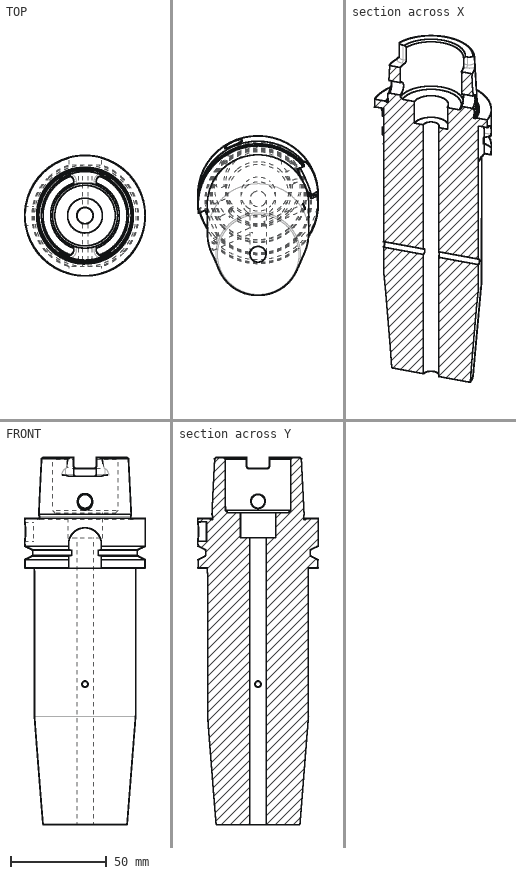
import cadquery as cq
import math

OVERLAP = 1.0

shank_height = 31.9
taper_gauge_radius = 24.0
taper_gauge_height = 6.3
taper_slope = 0.05
taper_foot_height = 2.1
rim_chamfer = 0.8

relief_radius = 23.9
relief_outer_radius = 25.3
relief_depth = 0.5

flange_radius = 31.5
flange_thickness = 26.0
flange_edge_chamfer = 0.3
groove_centre = -18.0
groove_mouth = 6.9
groove_floor_radius = 27.4
groove_flank_angle = 25.0
groove_corner_bevel = 0.5

body_radius = 26.5
nose_start = -103.2
nose_end = -160.0
nose_angle = 4.5
nose_edge_radius = 0.8

cavity_radius = 17.0
cavity_chamfer = 1.0
cavity_floor_chamfer = 1.2
cavity_floor = 3.0
well_radius = 9.1
well_floor = -10.0
bore_radius = 4.2

slot_half_width = 5.9
slot_lip_radius = 3.0
slot_lip_reach = 20.92
slot_flare_angle = 26.0
slot_corner_radius = 1.3
front_slot_depth = 10.0
back_slot_depth = 5.8

keyway_width = 17.2
keyway_top = -4.9

clamp_hole_diameter = 7.2
clamp_hole_height = 8.9
clamp_hole_chamfer = 0.7
cross_hole_diameter = 3.0
cross_hole_height = -86.5
chip_hole_diameter = 10.0
chip_hole_height = -6.9
chip_hole_depth = 4.6


def taper_radius(height):
    return taper_gauge_radius - taper_slope * (height - taper_gauge_height)


def to_front(shape):
    """Turn a +Y side cutter to the -Y side."""
    return shape.rotate((0, 0, 0), (0, 0, 1), 180)


def revolve(points):
    """Turn a closed (radius, height) outline about the Z axis."""
    return cq.Workplane("XZ").polyline(points).close().revolve(360, (0, 0, 0), (0, 1, 0))


def radial_cylinder(diameter, height, start, end):
    """Cylinder along Y at the given height, from y = start to y = end."""
    plane = cq.Plane(origin=(0, start, height), xDir=(1, 0, 0), normal=(0, 1, 0))
    return cq.Workplane(plane).circle(diameter / 2).extrude(end - start)


def make_outer_body():
    groove_top = groove_centre + groove_mouth / 2
    groove_bottom = groove_centre - groove_mouth / 2
    bevel_radius = groove_floor_radius + groove_corner_bevel
    flank = (flange_radius - bevel_radius) * math.tan(math.radians(groove_flank_angle))
    nose_radius = body_radius - (nose_start - nose_end) * math.tan(math.radians(nose_angle))
    body = revolve([
        (0, shank_height),
        (taper_radius(shank_height), shank_height),
        (taper_radius(taper_foot_height), taper_foot_height),
        (relief_radius, taper_foot_height / 2),
        (relief_radius, -relief_depth),
        (relief_outer_radius - relief_depth, -relief_depth),
        (relief_outer_radius, 0),
        (flange_radius, 0),
        (flange_radius, groove_top),
        (bevel_radius, groove_top - flank),
        (groove_floor_radius, groove_top - flank - groove_corner_bevel),
        (groove_floor_radius, groove_bottom + flank + groove_corner_bevel),
        (bevel_radius, groove_bottom + flank),
        (flange_radius, groove_bottom),
        (flange_radius, -flange_thickness + flange_edge_chamfer),
        (flange_radius - flange_edge_chamfer, -flange_thickness),
        (body_radius, -flange_thickness),
        (body_radius, nose_start),
        (nose_radius, nose_end),
        (0, nose_end),
    ])
    body = body.faces(">Z").edges().chamfer(rim_chamfer)
    return body.faces("<Z").edges().fillet(nose_edge_radius)


def make_cavity():
    return revolve([
        (0, shank_height + OVERLAP),
        (cavity_radius + cavity_chamfer + OVERLAP, shank_height + OVERLAP),
        (cavity_radius, shank_height - cavity_chamfer),
        (cavity_radius, cavity_floor + cavity_floor_chamfer),
        (cavity_radius - cavity_floor_chamfer, cavity_floor),
        (well_radius, cavity_floor),
        (well_radius, well_floor),
        (bore_radius, well_floor),
        (bore_radius, nose_end - OVERLAP),
        (0, nose_end - OVERLAP),
    ])


def make_drive_slot(depth):
    """Drive slot on the +Y side: straight walls, rounded lips, then flaring outwards."""
    lip_x = slot_half_width + slot_lip_radius
    lip_y = slot_lip_reach - slot_lip_radius
    flare = math.radians(slot_flare_angle)
    arc_end_x = lip_x + slot_lip_radius * math.sin(flare)
    arc_end_y = lip_y + slot_lip_radius * math.cos(flare)
    arc_middle = (math.pi + math.pi / 2 - flare) / 2
    middle_x = lip_x + slot_lip_radius * math.cos(arc_middle)
    middle_y = lip_y + slot_lip_radius * math.sin(arc_middle)
    far_x = flange_radius
    far_y = arc_end_y - (far_x - arc_end_x) * math.tan(flare)
    inner_y = cavity_radius / 2
    outer_y = flange_radius
    slot = (
        cq.Workplane("XY", origin=(0, 0, shank_height - depth))
        .moveTo(-slot_half_width, inner_y)
        .lineTo(slot_half_width, inner_y)
        .lineTo(slot_half_width, lip_y)
        .threePointArc((middle_x, middle_y), (arc_end_x, arc_end_y))
        .lineTo(far_x, far_y)
        .lineTo(far_x, outer_y)
        .lineTo(-far_x, outer_y)
        .lineTo(-far_x, far_y)
        .lineTo(-arc_end_x, arc_end_y)
        .threePointArc((-middle_x, middle_y), (-slot_half_width, lip_y))
        .close()
        .extrude(depth + OVERLAP)
    )
    return slot.faces("<Z").edges().fillet(slot_corner_radius)


def make_keyway():
    """Round-ended flat on the +Y side, open at the lower face of the flange."""
    radius = keyway_width / 2
    centre_height = keyway_top - radius
    bottom = -flange_thickness
    depth = flange_radius - body_radius + OVERLAP
    round_end = radial_cylinder(keyway_width, centre_height, body_radius, body_radius + depth)
    leg = cq.Workplane("XY").box(
        keyway_width, depth, centre_height - bottom, centered=(True, False, False)
    )
    return round_end.union(leg.translate((0, body_radius, bottom)))


def make_clamp_holes():
    """Radial hole through both walls of the shank, countersunk on the outside."""
    reach = flange_radius
    holes = radial_cylinder(clamp_hole_diameter, clamp_hole_height, -reach, reach)
    surface_y = taper_radius(clamp_hole_height)
    tip_y = surface_y - clamp_hole_chamfer - clamp_hole_diameter / 2
    cone_length = surface_y + OVERLAP - tip_y
    cone = cq.Workplane(
        cq.Solid.makeCone(
            0, cone_length, cone_length, pnt=(0, tip_y, clamp_hole_height), dir=(0, 1, 0)
        )
    )
    return holes.union(cone).union(to_front(cone))


def make_cross_hole():
    reach = body_radius + OVERLAP
    return radial_cylinder(cross_hole_diameter, cross_hole_height, -reach, reach)


def make_chip_hole():
    """Blind pocket on the -X side of the flange."""
    pocket = radial_cylinder(
        chip_hole_diameter, chip_hole_height, flange_radius - chip_hole_depth, flange_radius + OVERLAP
    )
    return pocket.rotate((0, 0, 0), (0, 0, 1), 90)


result = make_outer_body().cut(make_cavity())
result = result.cut(make_drive_slot(back_slot_depth)).cut(to_front(make_drive_slot(front_slot_depth)))
result = result.cut(make_keyway()).cut(to_front(make_keyway()))
result = result.cut(make_clamp_holes()).cut(make_cross_hole()).cut(make_chip_hole())